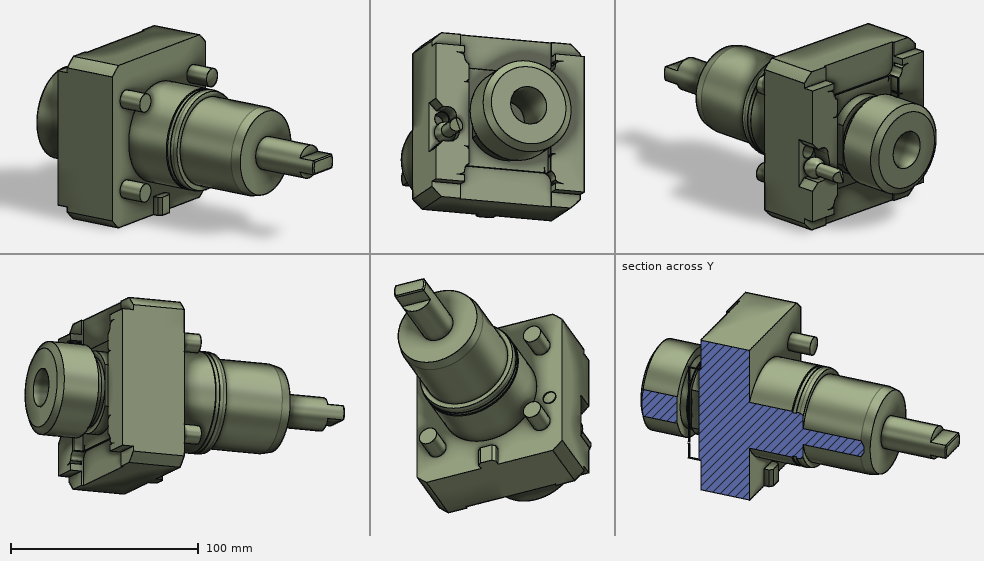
import cadquery as cq
import math


NUT_END = 22.5
COLLAR_END = 26.3
RAIL_FRONT = 28.7
PLATE_FRONT = 35.0
CHANNEL_FLOOR = 36.1
PLATE_BACK = 64.7
GROOVE_START = 89.5
RING_START = 92.0
RING_END = 96.2
BARREL_TAPER_START = 129.7
BARREL_END = 134.9
TANG_START = 163.5
TANG_END = 173.0

NUT_RADIUS = 24.9
NUT_CHAMFER_LENGTH = 2.5
NUT_FACE_RADIUS = 21.1
BORE_RADIUS = 10.2
BORE_DEPTH = 34.6
COLLAR_RADIUS = 20.0
NECK_RADIUS = 19.0
FLANGE_RADIUS = 22.1

SHANK_RADIUS = 27.3
GROOVE_RADIUS = 27.0
GROOVE_BEVEL = 0.5
RING_TAPER_LENGTH = 2.0
RING_TAPER_DROP = 0.5
BARREL_RADIUS = 24.0
BARREL_END_RADIUS = 22.8
DRIVE_RADIUS = 9.0
TANG_THICKNESS = 7.8
TANG_CHAMFER = 0.7

PLATE_WIDTH = 84.0
PLATE_HEIGHT = 90.0
PLATE_TURNED_RADIUS = 58.0

RAIL_HALF_HEIGHT = 37.2
RAIL_TIP_INNER_Y = 25.8
RAIL_INNER_Y = 23.2
RAIL_LIP = 0.9
RAIL_UNDERCUT = 0.5

OUTER_NICK_Z = 33.5
OUTER_NICK_REACH = 4.3
OUTER_NICK_RADIUS = 7.0
INNER_NICK_Z = 17.6
INNER_NICK_REACH = 2.6
INNER_NICK_RADIUS = 3.1

PLATEAU_HALF_HEIGHT = 26.8
CHANNEL_FILLET = 4.7
RELIEF_Y = 21.6
RELIEF_WIDTH = 0.5
RELIEF_LENGTH = 2.8

SCREW_RADIUS = 5.0
SCREW_END = 77.7
SCREW_Y = 30.1
SCREW_Z = 24.9

KEY_SIZE = 10.0
KEY_LENGTH = 4.7
KEY_CHAMFER = 1.7

NOZZLE_Y = 34.8
NOZZLE_Z = -9.9
BALL_RADIUS = 5.7
POCKET_LOWER_RADIUS = 6.0
PORT_Y = 35.0
PORT_Z = -1.5
PORT_RADIUS = 4.0
PORT_DEPTH = 8.6
POCKET_UPPER_RADIUS = 4.5
POCKET_DEPTH = 10.4
POCKET_FLARE = 4.0
PIN_RADIUS = 3.6
PIN_TIP = 14.4
PIN_TIP_LENGTH = 3.0
PIN_BACK = 65.2
PIN_EDGE_TILT = 20.0


def plane_at(x):
    """Plane across the X axis: local x is Y, local y is Z, extrusion runs along +X."""
    return cq.Workplane("YZ", origin=(x, 0, 0))


def cylinder_x(start, end, radius, y=0.0, z=0.0):
    return plane_at(start).center(y, z).circle(radius).extrude(end - start)


def box_x(start, end, y_min, y_max, z_min, z_max):
    size = (end - start, y_max - y_min, z_max - z_min)
    return cq.Workplane("XY").box(*size, centered=False).translate((start, y_min, z_min))


def four_way(solid):
    """The solid together with its mirror images in Y and Z."""
    pair = solid.union(solid.mirror("XZ"))
    return pair.union(pair.mirror("XY"))


def make_nut():
    """Chamfered nut, collar and neck ahead of the plate."""
    return (
        cq.Workplane("XY")
        .lineTo(0, NUT_FACE_RADIUS)
        .lineTo(NUT_CHAMFER_LENGTH, NUT_RADIUS)
        .lineTo(NUT_END, NUT_RADIUS)
        .lineTo(NUT_END, COLLAR_RADIUS)
        .lineTo(COLLAR_END, COLLAR_RADIUS)
        .lineTo(COLLAR_END, NECK_RADIUS)
        .lineTo(CHANNEL_FLOOR, NECK_RADIUS)
        .lineTo(CHANNEL_FLOOR, 0)
        .close()
        .revolve(360, (0, 0, 0), (1, 0, 0))
    )


def make_flange():
    """Round flange between the rails, flattened on both sides."""
    disc = cylinder_x(RAIL_FRONT, CHANNEL_FLOOR, FLANGE_RADIUS)
    flats = box_x(
        RAIL_FRONT, CHANNEL_FLOOR, -NECK_RADIUS, NECK_RADIUS, -FLANGE_RADIUS, FLANGE_RADIUS
    )
    return disc.intersect(flats)


def make_shank():
    """Stepped shank with a sealing ring, tapered nose and drive shaft."""
    return (
        cq.Workplane("XY")
        .moveTo(PLATE_BACK, 0)
        .lineTo(PLATE_BACK, SHANK_RADIUS)
        .lineTo(GROOVE_START, SHANK_RADIUS)
        .lineTo(GROOVE_START + GROOVE_BEVEL, GROOVE_RADIUS)
        .lineTo(RING_START, GROOVE_RADIUS)
        .lineTo(RING_START, SHANK_RADIUS)
        .lineTo(RING_END - RING_TAPER_LENGTH, SHANK_RADIUS)
        .lineTo(RING_END, SHANK_RADIUS - RING_TAPER_DROP)
        .lineTo(RING_END, BARREL_RADIUS)
        .lineTo(BARREL_TAPER_START, BARREL_RADIUS)
        .lineTo(BARREL_END, BARREL_END_RADIUS)
        .lineTo(BARREL_END, DRIVE_RADIUS)
        .lineTo(TANG_END - TANG_CHAMFER, DRIVE_RADIUS)
        .lineTo(TANG_END, DRIVE_RADIUS - TANG_CHAMFER)
        .lineTo(TANG_END, 0)
        .close()
        .revolve(360, (0, 0, 0), (1, 0, 0))
    )


def make_tang_cuts():
    """Material removed above and below the flat drive tang."""
    envelope = box_x(
        TANG_START, TANG_END, -DRIVE_RADIUS, DRIVE_RADIUS, -DRIVE_RADIUS, DRIVE_RADIUS
    )
    tang = (
        cq.Workplane("XY")
        .box(TANG_END - TANG_START, 2 * DRIVE_RADIUS, TANG_THICKNESS, centered=(False, True, True))
        .translate((TANG_START, 0, 0))
        .faces(">X").edges("|Y").chamfer(TANG_CHAMFER)
    )
    return envelope.cut(tang)


def make_plate():
    """Rectangular plate whose corners are turned to a common radius, rails included."""
    plate = plane_at(RAIL_FRONT).rect(PLATE_WIDTH, PLATE_HEIGHT).extrude(PLATE_BACK - RAIL_FRONT)
    plate = plate.intersect(cylinder_x(RAIL_FRONT, PLATE_BACK, PLATE_TURNED_RADIUS))
    half_height = PLATE_HEIGHT / 2
    half_width = PLATE_WIDTH / 2
    ledge = box_x(RAIL_FRONT, PLATE_FRONT, -half_width, half_width, RAIL_HALF_HEIGHT, half_height)
    return plate.cut(ledge).cut(ledge.mirror("XY"))


def make_channel_bay():
    """Deep channel above the raised centre, with filleted lower corners."""
    half_width = RAIL_TIP_INNER_Y
    half_height = PLATE_HEIGHT / 2
    bay = box_x(
        RAIL_FRONT, CHANNEL_FLOOR, -half_width, half_width, PLATEAU_HALF_HEIGHT, half_height
    )
    return bay.faces("<Z").edges("|X").fillet(CHANNEL_FILLET)


def make_nick(wall_y, ledge_z, reach, radius, side):
    """Wedge cut into a rail wall; it opens from its tip towards +Z (side 1) or -Z (side -1)."""
    opening = radius - math.sqrt(radius**2 - reach**2)
    return (
        plane_at(RAIL_FRONT)
        .moveTo(wall_y, ledge_z)
        .lineTo(wall_y + reach, ledge_z)
        .radiusArc((wall_y, ledge_z + side * opening), side * radius)
        .close()
        .extrude(PLATE_FRONT - RAIL_FRONT)
    )


def make_plateau_relief():
    """Narrow wedge-shaped relief at one corner of the raised centre."""
    return (
        plane_at(PLATE_FRONT)
        .moveTo(RELIEF_Y, PLATEAU_HALF_HEIGHT - RELIEF_LENGTH)
        .lineTo(RELIEF_Y, PLATEAU_HALF_HEIGHT)
        .lineTo(RELIEF_Y + RELIEF_WIDTH, PLATEAU_HALF_HEIGHT)
        .close()
        .extrude(CHANNEL_FLOOR - PLATE_FRONT)
    )


def make_channel():
    """Channel between the rails, deeper above and below its raised centre."""
    gap_top = PLATEAU_HALF_HEIGHT + CHANNEL_FILLET
    gap = box_x(RAIL_FRONT, PLATE_FRONT, 0, RAIL_INNER_Y, 0, gap_top)
    undercut = box_x(
        RAIL_FRONT + RAIL_LIP,
        PLATE_FRONT,
        0,
        RAIL_INNER_Y + RAIL_UNDERCUT,
        0,
        PLATEAU_HALF_HEIGHT,
    )
    outer_nick = make_nick(
        RAIL_TIP_INNER_Y, OUTER_NICK_Z, OUTER_NICK_REACH, OUTER_NICK_RADIUS, -1
    )
    inner_nick = make_nick(RAIL_INNER_Y, INNER_NICK_Z, INNER_NICK_REACH, INNER_NICK_RADIUS, 1)
    quarter = gap.union(undercut).union(outer_nick).union(inner_nick).union(make_plateau_relief())
    return four_way(quarter.union(make_channel_bay()))


def make_nozzle_pocket():
    """Pocket around the coolant nozzle, flaring open through the +Y side of the rail."""
    edge_y = PLATE_WIDTH / 2
    top_z = PORT_Z + POCKET_UPPER_RADIUS
    bottom_z = NOZZLE_Z - POCKET_LOWER_RADIUS
    throat_y = edge_y - POCKET_FLARE
    outline = (
        plane_at(RAIL_FRONT)
        .moveTo(edge_y, top_z + POCKET_FLARE)
        .lineTo(throat_y, top_z)
        .lineTo(PORT_Y, top_z)
        .radiusArc((PORT_Y - POCKET_UPPER_RADIUS, PORT_Z), -POCKET_UPPER_RADIUS)
        .lineTo(NOZZLE_Y - POCKET_LOWER_RADIUS, NOZZLE_Z)
        .radiusArc((NOZZLE_Y, bottom_z), -POCKET_LOWER_RADIUS)
        .lineTo(throat_y, bottom_z)
        .lineTo(edge_y, bottom_z - POCKET_FLARE)
        .close()
    )
    pocket = outline.extrude(POCKET_DEPTH)
    floor = RAIL_FRONT + POCKET_DEPTH
    port = cylinder_x(floor, floor + PORT_DEPTH, PORT_RADIUS, PORT_Y, PORT_Z)
    return pocket.union(port)


def make_nozzle():
    """Coolant pin through the plate with a chisel tip, carried by a ball."""
    shoulder = PIN_TIP + PIN_TIP_LENGTH
    pin = cylinder_x(PIN_TIP, PIN_BACK, PIN_RADIUS)
    blade = (
        cq.Workplane("XY")
        .moveTo(PIN_TIP, 0)
        .lineTo(shoulder, PIN_RADIUS)
        .lineTo(PIN_BACK, PIN_RADIUS)
        .lineTo(PIN_BACK, -PIN_RADIUS)
        .lineTo(shoulder, -PIN_RADIUS)
        .close()
        .extrude(PIN_RADIUS, both=True)
        .rotate((0, 0, 0), (1, 0, 0), -PIN_EDGE_TILT)
    )
    ball = cq.Workplane("XY").sphere(BALL_RADIUS).translate((RAIL_FRONT + BALL_RADIUS, 0, 0))
    return pin.intersect(blade).union(ball).translate((0, NOZZLE_Y, NOZZLE_Z))


def make_screws():
    """Four screws standing out of the plate back."""
    return four_way(cylinder_x(PLATE_BACK, SCREW_END, SCREW_RADIUS, SCREW_Y, SCREW_Z))


def make_key():
    """Key flush with the plate bottom, with chamfered upright edges."""
    key = box_x(
        PLATE_BACK,
        PLATE_BACK + KEY_LENGTH,
        -KEY_SIZE / 2,
        KEY_SIZE / 2,
        -PLATE_HEIGHT / 2,
        KEY_SIZE - PLATE_HEIGHT / 2,
    )
    return key.faces(">X").edges("|Z").chamfer(KEY_CHAMFER)


plate = make_plate().cut(make_channel()).cut(make_nozzle_pocket())
shank = make_shank().cut(make_tang_cuts())
bore = cylinder_x(0, BORE_DEPTH, BORE_RADIUS)
nose = make_nut().union(make_flange()).cut(bore)

result = plate.union(nose).union(shank).union(make_screws()).union(make_key()).union(make_nozzle())